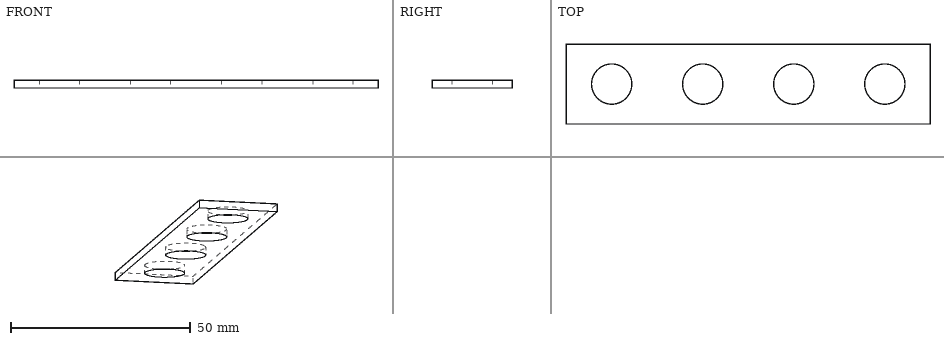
import cadquery as cq

length = 101.6
width = 22.4
thickness = 2.2

hole_count = 4
hole_diameter = width / 2
hole_pitch = length / hole_count

strip = cq.Workplane("XY").box(length, width, thickness)

result = (
    strip.faces(">Z")
    .workplane()
    .rarray(hole_pitch, 1, hole_count, 1)
    .hole(hole_diameter)
)